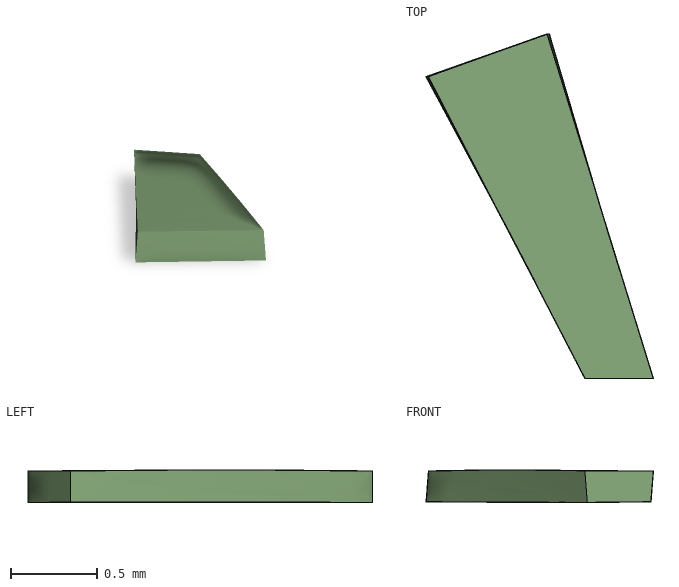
import cadquery as cq

span = 2.0
width_x = 1.32
root_left_x = 0.922
tip_left_y = 1.752
tip_right_x = 0.715

side_lean = 0.015

height = 0.19
crown = 0.005
bottom_twist = 0.005
top_z = height - crown


def line(start, end):
    return cq.Edge.makeLine(start, end)


top_root_left = cq.Vector(root_left_x, 0, top_z)
top_root_right = cq.Vector(width_x, 0, top_z)
top_tip_right = cq.Vector(tip_right_x - side_lean, span, top_z)
top_tip_left = cq.Vector(side_lean, tip_left_y, top_z)

bottom_root_left = cq.Vector(root_left_x + side_lean, 0, 0)
bottom_root_right = cq.Vector(width_x - side_lean, 0, bottom_twist)
bottom_tip_right = cq.Vector(tip_right_x, span, 0)
bottom_tip_left = cq.Vector(0, tip_left_y, bottom_twist)

crown_point = (top_root_left + top_tip_left) * 0.5 + cq.Vector(0, 0, crown)
top_left = cq.Edge.makeThreePointArc(top_root_left, crown_point, top_tip_left)
top_right = line(top_root_right, top_tip_right)
bottom_left = line(bottom_root_left, bottom_tip_left)
bottom_right = line(bottom_root_right, bottom_tip_right)

top_root = line(top_root_left, top_root_right)
bottom_root = line(bottom_root_left, bottom_root_right)
top_tip = line(top_tip_left, top_tip_right)
bottom_tip = line(bottom_tip_left, bottom_tip_right)

edge_pairs = [
    (top_left, top_right),
    (bottom_left, bottom_right),
    (bottom_left, top_left),
    (bottom_right, top_right),
    (bottom_root, top_root),
    (bottom_tip, top_tip),
]
faces = [cq.Face.makeRuledSurface(first, second) for first, second in edge_pairs]
blade = cq.Solid.makeSolid(cq.Shell.makeShell(faces)).fix()

result = cq.Workplane("XY").newObject([blade])